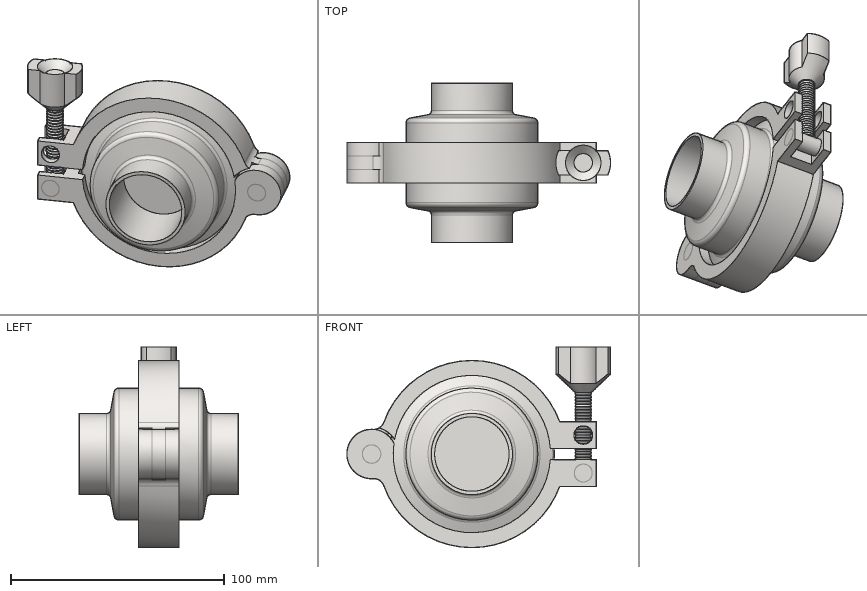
import cadquery as cq
import math

BODY_HALF_LENGTH = 37.3
PIPE_RADIUS = 19.0
BORE_RADIUS = 17.4
WEB_THICKNESS = 14.8
SHELL_RADIUS = 30.9
SHOULDER_OUTER_Y = 20.7
SHOULDER_INNER_Y = 22.9
SHOULDER_FILLET = 2.3
NECK_FILLET = 1.9

FLANGE_RADIUS = 38.7
FLANK_ANGLE = 20.0
FLANK_ROOT_Y = 6.7
FLANGE_ROOT_FILLET = 1.6
FLANGE_RIM_FILLET = 1.1
GROOVE_RADIUS = 40.3

CLAMP_WIDTH = 19.0
CLAMP_RADIUS = 43.9
OPENING_RADIUS = 36.9

HINGE_X = -47.0
KNUCKLE_RADIUS = 11.6
KNUCKLE_WIDTH = CLAMP_WIDTH / 3
KNUCKLE_CLEARANCE = 1.1
HINGE_FILLET = 5.0
HINGE_PIN_RADIUS = 4.3

LUG_END_X = 58.4
LUG_INNER_Z = 2.6
LUG_OUTER_Z = 15.2
LUG_MID_Z = (LUG_INNER_Z + LUG_OUTER_Z) / 2
LUG_PLATE = 4.0
LUG_SLOT_WIDTH = CLAMP_WIDTH - 2 * LUG_PLATE
LUG_SLOT_LENGTH = 11.6
LUG_HOLE_RADIUS = 4.3
LUG_PIN_RADIUS = 4.2

BOLT_X = 52.2
THREAD_RADIUS = 4.0
THREAD_ROOT_RADIUS = 3.5
THREAD_TURNS = 26
KNOB_TOP_Z = 50.2
KNOB_WING_Z = 37.5
KNOB_TIP_Z = 29.0
WING_RADIUS = 12.9
WING_WIDTH = 11.5
HUB_RADIUS = 8.3
RECESS_FLOOR_RADIUS = 4.3
RECESS_DEPTH = 3.7


def flank_y(radius):
    """Distance of the flange flank from the plane y = 0 at a given radius."""
    return FLANK_ROOT_Y - (radius - SHELL_RADIUS) * math.tan(math.radians(FLANK_ANGLE))


def cylinder_y(x, z, radius, y_start, y_end):
    """Cylinder with its axis along Y."""
    base = cq.Workplane("XZ", origin=(x, y_start, z)).circle(radius)
    return base.extrude(y_start - y_end)


def clamp_cylinder(x, z, radius):
    """Cylinder along Y over the whole clamp width."""
    return cylinder_y(x, z, radius, -CLAMP_WIDTH / 2, CLAMP_WIDTH / 2)


def centered_box(x_range, z_range, width):
    """Box given by its X and Z ranges, centred on y = 0."""
    x_size = x_range[1] - x_range[0]
    z_size = z_range[1] - z_range[0]
    center = (sum(x_range) / 2, 0, sum(z_range) / 2)
    return cq.Workplane("XY").box(x_size, width, z_size).translate(center)


def rounded_corner(sketch, radius, point):
    """Round the profile corner at the given point."""
    return sketch.reset().vertices(cq.selectors.NearestToPointSelector(point)).fillet(radius)


def make_valve_body():
    root = (SHELL_RADIUS, flank_y(SHELL_RADIUS))
    rim = (FLANGE_RADIUS, flank_y(FLANGE_RADIUS))
    shoulder = (SHELL_RADIUS, SHOULDER_OUTER_Y)
    neck = (PIPE_RADIUS, SHOULDER_INNER_Y)
    points = [
        (0, 0), (FLANGE_RADIUS, 0), rim, root, shoulder, neck,
        (PIPE_RADIUS, BODY_HALF_LENGTH),
        (BORE_RADIUS, BODY_HALF_LENGTH),
        (BORE_RADIUS, WEB_THICKNESS / 2),
        (0, WEB_THICKNESS / 2), (0, 0),
    ]
    profile = cq.Sketch().polygon(points)
    rounds = [
        (rim, FLANGE_RIM_FILLET),
        (root, FLANGE_ROOT_FILLET),
        (shoulder, SHOULDER_FILLET),
        (neck, NECK_FILLET),
    ]
    for corner, radius in rounds:
        profile = rounded_corner(profile, radius, (*corner, 0))
    half = cq.Workplane("XY").placeSketch(profile).revolve(360, (0, 0, 0), (0, 1, 0))
    return half.union(half.mirror("XZ"))


def make_groove():
    """Opening of the clamp together with its V groove, as a solid to cut away."""
    half_width = CLAMP_WIDTH / 2
    opening_y = flank_y(OPENING_RADIUS)
    bottom_y = flank_y(GROOVE_RADIUS)
    points = [
        (0, -half_width), (OPENING_RADIUS, -half_width), (OPENING_RADIUS, -opening_y),
        (GROOVE_RADIUS, -bottom_y), (GROOVE_RADIUS, bottom_y),
        (OPENING_RADIUS, opening_y), (OPENING_RADIUS, half_width), (0, half_width),
    ]
    return cq.Workplane("XY").polyline(points).close().revolve(360, (0, 0, 0), (0, 1, 0))


def make_knuckle_web():
    """Upper half of the hinge side: knuckle circle blended into the ring by a fillet."""
    ring_distance = CLAMP_RADIUS + HINGE_FILLET
    knuckle_distance = KNUCKLE_RADIUS + HINGE_FILLET
    center_x = (ring_distance**2 - knuckle_distance**2 + HINGE_X**2) / (2 * HINGE_X)
    center_z = math.sqrt(ring_distance**2 - center_x**2)
    ring_x = center_x * CLAMP_RADIUS / ring_distance
    ring_z = center_z * CLAMP_RADIUS / ring_distance
    knuckle_x = HINGE_X + (center_x - HINGE_X) * KNUCKLE_RADIUS / knuckle_distance
    knuckle_z = center_z * KNUCKLE_RADIUS / knuckle_distance
    chord_x = (ring_x + knuckle_x) / 2 - center_x
    chord_z = (ring_z + knuckle_z) / 2 - center_z
    reach = HINGE_FILLET / math.hypot(chord_x, chord_z)
    middle = (center_x + chord_x * reach, center_z + chord_z * reach)
    outline = (
        cq.Workplane("XZ")
        .moveTo(HINGE_X, 0)
        .lineTo(knuckle_x, knuckle_z)
        .threePointArc(middle, (ring_x, ring_z))
        .lineTo(-OPENING_RADIUS, 0)
        .close()
    )
    return outline.extrude(CLAMP_WIDTH / 2, both=True)


def knuckle_band(radius, band):
    """Cylinder on the hinge axis filling one of the three bands across the width."""
    y_start = -CLAMP_WIDTH / 2 + band * KNUCKLE_WIDTH
    return cylinder_y(HINGE_X, 0, radius, y_start, y_start + KNUCKLE_WIDTH)


def make_lug():
    """Upper forked lug, with the bolt slot open towards +X."""
    lug = centered_box((OPENING_RADIUS, LUG_END_X), (LUG_INNER_Z, LUG_OUTER_Z), CLAMP_WIDTH)
    slot_x = (LUG_END_X - LUG_SLOT_LENGTH, LUG_END_X)
    return lug.cut(centered_box(slot_x, (LUG_INNER_Z, LUG_OUTER_Z), LUG_SLOT_WIDTH))


def make_clamp_half(own_bands, other_bands, upper):
    """Half ring with its lug and its hinge knuckles, cleared around the other half's."""
    ring = clamp_cylinder(0, 0, CLAMP_RADIUS)
    keep = centered_box((-CLAMP_RADIUS, CLAMP_RADIUS), (0, CLAMP_RADIUS), CLAMP_WIDTH)
    gap = centered_box((0, CLAMP_RADIUS), (0, LUG_INNER_Z), CLAMP_WIDTH)
    half = ring.intersect(keep).cut(gap).union(make_lug()).union(make_knuckle_web())
    if not upper:
        half = half.mirror("XY")
    for band in other_bands:
        half = half.cut(knuckle_band(KNUCKLE_RADIUS + KNUCKLE_CLEARANCE, band))
    for band in own_bands:
        half = half.union(knuckle_band(KNUCKLE_RADIUS, band))
    return half.cut(make_groove())


def make_knob():
    """Wing knob: hub with two wings, tapered below and dished on top."""
    turned = (
        cq.Workplane("XZ")
        .polyline([
            (0, KNOB_TIP_Z), (THREAD_RADIUS, KNOB_TIP_Z), (WING_RADIUS, KNOB_WING_Z),
            (WING_RADIUS, KNOB_TOP_Z), (HUB_RADIUS, KNOB_TOP_Z),
            (RECESS_FLOOR_RADIUS, KNOB_TOP_Z - RECESS_DEPTH), (0, KNOB_TOP_Z - RECESS_DEPTH),
        ])
        .close()
        .revolve(360, (0, 0, 0), (0, 1, 0))
    )
    height = KNOB_TOP_Z - KNOB_TIP_Z
    hub = cq.Workplane("XY", origin=(0, 0, KNOB_TIP_Z)).circle(HUB_RADIUS).extrude(height)
    wings = centered_box((-WING_RADIUS, WING_RADIUS), (KNOB_TIP_Z, KNOB_TOP_Z), WING_WIDTH)
    return turned.intersect(hub.union(wings)).translate((BOLT_X, 0, 0))


def make_threaded_shank():
    """Shank from the lower lug pin up to the knob, with ring-shaped thread ridges."""
    bottom_z = -LUG_MID_Z
    pitch = (KNOB_TIP_Z - bottom_z) / THREAD_TURNS
    points = [(0, bottom_z), (THREAD_ROOT_RADIUS, bottom_z)]
    for turn in range(THREAD_TURNS):
        root_z = bottom_z + turn * pitch
        points.append((THREAD_RADIUS, root_z + pitch / 2))
        points.append((THREAD_ROOT_RADIUS, root_z + pitch))
    points.append((0, KNOB_TIP_Z))
    profile = cq.Workplane("XZ").polyline(points).close()
    return profile.revolve(360, (0, 0, 0), (0, 1, 0)).translate((BOLT_X, 0, 0))


def make_clamp():
    lower = make_clamp_half(own_bands=(0, 2), other_bands=(1,), upper=False)
    upper = make_clamp_half(own_bands=(1,), other_bands=(0, 2), upper=True)
    upper = upper.cut(clamp_cylinder(BOLT_X, LUG_MID_Z, LUG_HOLE_RADIUS))

    hinge_pin = clamp_cylinder(HINGE_X, 0, HINGE_PIN_RADIUS)
    lug_pin = clamp_cylinder(BOLT_X, -LUG_MID_Z, LUG_PIN_RADIUS)
    swing_bolt = make_threaded_shank().union(make_knob())
    clamp = lower.cut(hinge_pin).cut(lug_pin)
    for part in (upper.cut(hinge_pin), hinge_pin, lug_pin, swing_bolt):
        clamp = clamp.union(part, clean=False)
    return clamp


valve_body = make_valve_body()
clamp = make_clamp()

result = cq.Compound.makeCompound([valve_body.solids().val(), clamp.solids().val()])